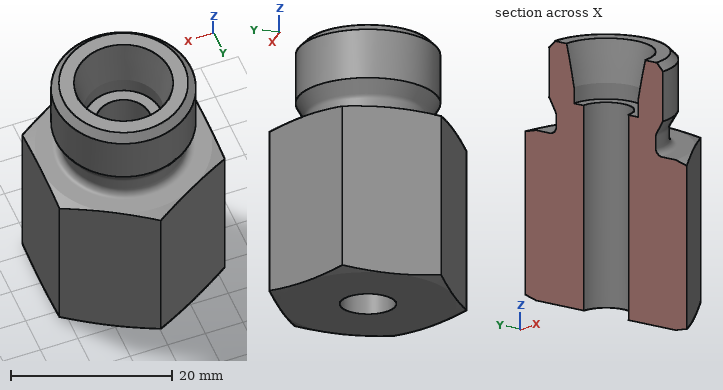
import cadquery as cq
import math

across_flats = 22.0
hex_height = 22.0
across_corners = across_flats / math.cos(math.radians(30))
corner_chamfer_angle = 15

total_height = 34.0
stud_diameter = 18.0
stud_chamfer = 1.0
neck_diameter = 15.7
neck_fillet = 1.0
stud_bottom = 26.6
undercut_angle = 30

through_diameter = 7.0
socket_diameter = 10.0
socket_depth = 7.5
mouth_diameter = 12.3
mouth_half_angle = 12


def hex_body():
    """Upright hexagonal prism with its corners turned down at both ends."""
    prism = (
        cq.Workplane("XY")
        .polygon(6, across_corners)
        .extrude(hex_height)
        .rotate((0, 0, 0), (0, 0, 1), 30)
    )
    flat_radius = across_flats / 2
    corner_radius = across_corners / 2
    corner_drop = (corner_radius - flat_radius) * math.tan(math.radians(corner_chamfer_angle))
    turned_blank = (
        cq.Workplane("XZ")
        .moveTo(0, 0)
        .lineTo(flat_radius, 0)
        .lineTo(corner_radius, corner_drop)
        .lineTo(corner_radius, hex_height - corner_drop)
        .lineTo(flat_radius, hex_height)
        .lineTo(0, hex_height)
        .close()
        .revolve(360, (0, 0, 0), (0, 1, 0))
    )
    return prism.intersect(turned_blank)


def stud():
    """Chamfered stud, tapering to a neck that is filleted at both ends."""
    stud_radius = stud_diameter / 2
    neck_radius = neck_diameter / 2
    taper_height = (stud_radius - neck_radius) / math.tan(math.radians(undercut_angle))
    taper_end = stud_bottom - taper_height
    blend_length = neck_fillet * math.tan(math.radians(undercut_angle / 2))
    blend_end = (
        neck_radius + blend_length * math.sin(math.radians(undercut_angle)),
        taper_end + blend_length * math.cos(math.radians(undercut_angle)),
    )
    arc_offset = neck_fillet * (1 - math.sqrt(0.5))
    return (
        cq.Workplane("XZ")
        .moveTo(0, hex_height)
        .lineTo(neck_radius + neck_fillet, hex_height)
        .threePointArc(
            (neck_radius + arc_offset, hex_height + arc_offset),
            (neck_radius, hex_height + neck_fillet),
        )
        .lineTo(neck_radius, taper_end - blend_length)
        .tangentArcPoint(blend_end, relative=False)
        .lineTo(stud_radius, stud_bottom)
        .lineTo(stud_radius, total_height - stud_chamfer)
        .lineTo(stud_radius - stud_chamfer, total_height)
        .lineTo(0, total_height)
        .close()
        .revolve(360, (0, 0, 0), (0, 1, 0))
    )


def bore():
    """Through hole, wider tube socket and conical mouth, as one cutter."""
    mouth_radius = mouth_diameter / 2
    socket_radius = socket_diameter / 2
    through_radius = through_diameter / 2
    mouth_depth = (mouth_radius - socket_radius) / math.tan(math.radians(mouth_half_angle))
    socket_floor = total_height - socket_depth
    return (
        cq.Workplane("XZ")
        .moveTo(0, 0)
        .lineTo(through_radius, 0)
        .lineTo(through_radius, socket_floor)
        .lineTo(socket_radius, socket_floor)
        .lineTo(socket_radius, total_height - mouth_depth)
        .lineTo(mouth_radius, total_height)
        .lineTo(0, total_height)
        .close()
        .revolve(360, (0, 0, 0), (0, 1, 0))
    )


result = hex_body().union(stud()).cut(bore())